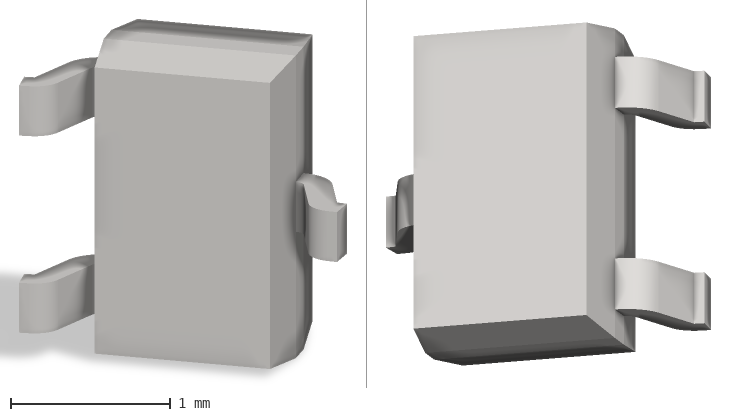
import cadquery as cq
import math

span_x = 2.1
total_depth = 1.1
height = 2.0

belt_width = 1.25
housing_depth = 1.0
belt_depth = 0.18
taper_inset = 0.055
half_depth = (housing_depth - belt_depth) / 2

lead_width = 0.33
lead_thickness = belt_depth
lead_offset_z = 0.65
shoulder_radius = 0.25
leg_lean = 20.0
foot_tilt = 5.0

belt_back_y = belt_depth / 2
belt_front_y = -belt_depth / 2
toe_y = housing_depth / 2 - total_depth


def make_tapered_half(belt_y, direction):
    """Frustum from the belt plane outward; direction is +1 for back, -1 for front."""
    return (
        cq.Workplane("XZ", origin=(0, belt_y, 0))
        .rect(belt_width, height)
        .workplane(offset=-direction * half_depth)
        .rect(belt_width - 2 * taper_inset, height - 2 * taper_inset)
        .loft(ruled=True)
    )


def make_housing():
    belt = cq.Workplane("XY").box(belt_width, belt_depth, height)
    back_half = make_tapered_half(belt_back_y, 1)
    front_half = make_tapered_half(belt_front_y, -1)
    return belt.union(back_half).union(front_half)


def polar(center, radius, degrees):
    """Point at an angle, counted counterclockwise from +X, around a center."""
    angle = math.radians(degrees)
    return (center[0] + radius * math.cos(angle), center[1] + radius * math.sin(angle))


def make_lead(side, center_z):
    """Gull-wing lead; side is -1 for the -X face of the housing and +1 for the +X face."""
    inner_radius = shoulder_radius - lead_thickness
    shoulder = (-belt_width / 2, belt_back_y - shoulder_radius)
    leg_normal = 180 - leg_lean
    shoulder_middle = (90 + leg_normal) / 2
    leg_start = polar(shoulder, shoulder_radius, leg_normal)

    toe_top_x = -span_x / 2
    tilt = math.radians(foot_tilt)
    lean = math.tan(math.radians(leg_lean))
    toe_top_y = toe_y + lead_thickness * math.cos(tilt)
    leg_x_at_toe = leg_start[0] - (leg_start[1] - toe_top_y) * lean
    foot_run = (leg_x_at_toe - toe_top_x) / (1 - lean * math.tan(tilt))
    ankle = (toe_top_x + foot_run, toe_top_y + foot_run * math.tan(tilt))

    foot_normal = foot_tilt - 90
    heel_end = -leg_lean
    heel_middle = (foot_normal + heel_end) / 2
    toe_bottom = polar((toe_top_x, toe_top_y), lead_thickness, foot_normal)

    lead = (
        cq.Workplane("XY", origin=(0, 0, center_z - lead_width / 2))
        .moveTo(-belt_width / 2, belt_back_y)
        .threePointArc(polar(shoulder, shoulder_radius, shoulder_middle), leg_start)
        .lineTo(*ankle)
        .lineTo(toe_top_x, toe_top_y)
        .lineTo(*toe_bottom)
        .lineTo(*polar(ankle, lead_thickness, foot_normal))
        .threePointArc(
            polar(ankle, lead_thickness, heel_middle),
            polar(ankle, lead_thickness, heel_end),
        )
        .lineTo(*polar(shoulder, inner_radius, leg_normal))
        .threePointArc(
            polar(shoulder, inner_radius, shoulder_middle),
            (-belt_width / 2, belt_front_y),
        )
        .close()
        .extrude(lead_width)
    )
    if side > 0:
        lead = lead.mirror("YZ")
    return lead


housing = make_housing()

lead_places = [(-1, lead_offset_z), (-1, -lead_offset_z), (1, 0)]
leads = [make_lead(side, center_z) for side, center_z in lead_places]

result = cq.Compound.makeCompound([housing.val(), *[lead.val() for lead in leads]])